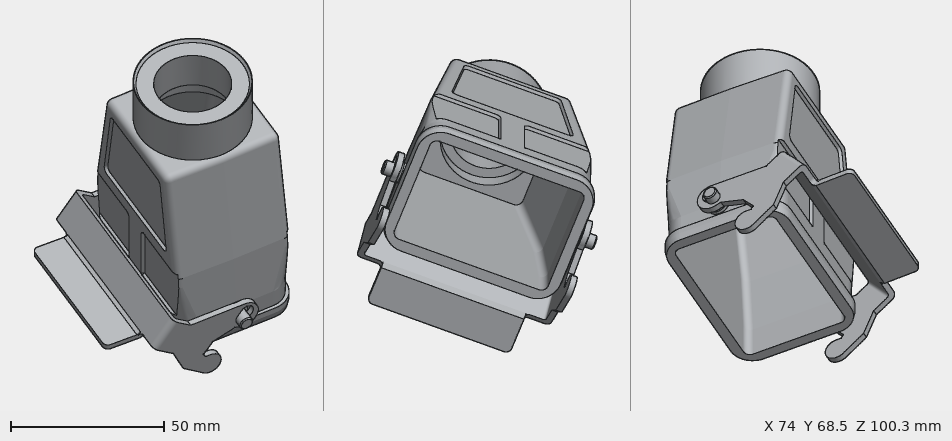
import cadquery as cq
import math


HOOD_HALF_Y = 21.4
SIDE_RIDGE = 0.4
HOOD_TOP_Z = 73.8
BASE_HALF_X = 29.9
BASE_TOP_Z = 11.4
BASE_CORNER = 7.6
BEND_HALF_X = 28.2
BEND_Z = 32.4
TOP_HALF_X = 21.1
EDGE_RADIUS = 2.4
CORNER_BLEND_Z = 28.4
HOOD_WALL = 3.0
ROOF = 5.0

FLANGE_BAND = 2.4
FLANGE_HALF_X = 30.9
FLANGE_HALF_Y = 22.5
FLANGE_CORNER = 8.5
FLANGE_DRAFT_INSET = 0.5

RECESS_DEPTH = 1.1
RECESS_DRAFT = 22.0
RECESS_CORNER = 1.5
LABEL_TOP_Z = 68.7
LABEL_BOTTOM_Z = 39.8
LABEL_TOP_HALF_X = 16.5
LABEL_BOTTOM_HALF_X = 21.0
RIB_HALF_X = 4.5
SIDE_RECESS_TOP_Z = 34.1
SIDE_RECESS_BOTTOM_Z = 14.2

NECK_DIA = 39.0
NECK_RIM_DIA = 38.6
NECK_TOP_Z = 90.5
INSERT_DIA = 37.0
INSERT_BORE = 25.5
INSERT_LENGTH = 13.9
RIM_DEPTH = 1.0
ENTRY_DIA = 32.0
INSERT_TOP_Z = NECK_TOP_Z - RIM_DEPTH
INSERT_BOTTOM_Z = INSERT_TOP_Z - INSERT_LENGTH

STUD_Z = 9.8
STUD_DIA = 4.8
STUD_CHAMFER = 0.4
STUD_END_X = 37.0
BOSS_DIA = 7.0
BOSS_CONE_LENGTH = 0.8

LEVER_HALF_X = 33.9
SHEET = 2.1
LEVER_INNER_X = LEVER_HALF_X - SHEET
BEND_INNER_RADIUS = 1.0
BEND_OUTER_RADIUS = 2.1
SLOT_DY = 1.7
SLOT_DZ = 2.2
EYE_RADIUS = 5.1
BAR_TOP = (-25.6, 21.0)
BAR_LENGTH = 12.0
BAR_SLOPE = 52.5
ARM_DEPTH = 9.3
HEEL = (-21.9, -3.1)
HOOK_CENTRE = (-11.9, -5.7)
HOOK_RADIUS = 4.1
THROAT = [(-13.6, HOOK_CENTRE[1] + HOOK_RADIUS), (-14.4, -0.3), (-10.8, 4.2), (-2.7, 6.7)]
EYE_END_ANGLE = -116.0

TAB_HALF_X = 25.0
TAB_END_Y = -46.0
TAB_UPPER_ROOT = (-34.3, 10.8)
TAB_LOWER_ROOT = (-32.9, 8.8)
TAB_RISE = 0.4
TAB_CORNER = 2.0
TAB_FLARE = 1.4

BIG = 100.3


def outline_corners(half_x, half_y, ridge):
    """Corners of a rectangle, with a ridge point in the middle of each short side if it has a ridge."""
    side_x = half_x - ridge
    front = [(-side_x, -half_y), (side_x, -half_y)]
    back = [(side_x, half_y), (-side_x, half_y)]
    if ridge:
        return [*front, (half_x, 0), *back, (-half_x, 0)]
    return front + back


def section(half_x, half_y, corner, z, ridge=0.0):
    """Rounded rectangle at height z; with a ridge, its short sides come to a point at their middle."""
    corners = outline_corners(half_x, half_y, ridge)
    outline = cq.Sketch().polygon(corners + corners[:1]).vertices(">Y or <Y").fillet(corner)
    return outline.moved(cq.Location(cq.Vector(0, 0, z)))


def ruled(lower, upper, ridge=0.0):
    """Solid with straight walls between two rounded outlines."""
    sections = (section(*lower, ridge), section(*upper, ridge))
    return cq.Workplane("XY").placeSketch(*sections).loft(ruled=True)


def both_sides(shape, plane):
    """The shape together with its mirror image."""
    return shape.union(shape.mirror(plane))


def hood_upper():
    """Tapered upper part; its upright edges and top rim are rounded together."""
    foot = [(x, y, BEND_Z) for x, y in outline_corners(BEND_HALF_X, HOOD_HALF_Y, SIDE_RIDGE)]
    top = [(x, y, HOOD_TOP_Z) for x, y in outline_corners(TOP_HALF_X, HOOD_HALF_Y, SIDE_RIDGE)]
    outlines = [foot, top]
    for i in range(len(foot)):
        outlines.append([foot[i - 1], foot[i], top[i], top[i - 1]])
    faces = [cq.Face.makeFromWires(cq.Wire.makePolygon(points, close=True))
             for points in ([cq.Vector(*point) for point in outline] for outline in outlines)]
    block = cq.Workplane(cq.Solid.makeSolid(cq.Shell.makeShell(faces)))
    upright = block.faces(">Y or <Y").edges("not #Z").vals()
    rim = block.faces(">Z").edges().vals()
    return block.newObject(upright + rim).fillet(EDGE_RADIUS)


def hood_shell():
    blend_share = (CORNER_BLEND_Z - BASE_TOP_Z) / (BEND_Z - BASE_TOP_Z)
    blend_half_x = BASE_HALF_X + (BEND_HALF_X - BASE_HALF_X) * blend_share
    base_foot = (BASE_HALF_X, HOOD_HALF_Y, BASE_CORNER, 0)
    base_top = (BASE_HALF_X, HOOD_HALF_Y, BASE_CORNER, BASE_TOP_Z)
    blend = (blend_half_x, HOOD_HALF_Y, EDGE_RADIUS, CORNER_BLEND_Z)
    bend = (BEND_HALF_X, HOOD_HALF_Y, EDGE_RADIUS, BEND_Z)
    shell = ruled(base_foot, base_top, SIDE_RIDGE)
    shell = shell.union(ruled(base_top, blend, SIDE_RIDGE))
    shell = shell.union(ruled(blend, bend, SIDE_RIDGE))
    return shell.union(hood_upper())


def flange():
    foot = (FLANGE_HALF_X - FLANGE_DRAFT_INSET, FLANGE_HALF_Y - FLANGE_DRAFT_INSET,
            FLANGE_CORNER - FLANGE_DRAFT_INSET, 0)
    middle = (FLANGE_HALF_X, FLANGE_HALF_Y, FLANGE_CORNER, FLANGE_BAND)
    top = (FLANGE_HALF_X, FLANGE_HALF_Y, FLANGE_CORNER, 2 * FLANGE_BAND)
    return ruled(foot, middle).union(ruled(middle, top))


def hood_cavity():
    half_y = HOOD_HALF_Y - HOOD_WALL
    roof_z = HOOD_TOP_Z - ROOF
    foot = (BASE_HALF_X - HOOD_WALL, half_y, EDGE_RADIUS, 0)
    base_top = (BASE_HALF_X - HOOD_WALL, half_y, EDGE_RADIUS, BASE_TOP_Z)
    bend = (BEND_HALF_X - HOOD_WALL, half_y, EDGE_RADIUS, BEND_Z)
    roof = (TOP_HALF_X - HOOD_WALL, half_y, EDGE_RADIUS, roof_z)
    return ruled(foot, base_top).union(ruled(base_top, bend)).union(ruled(bend, roof))


def recess_floor():
    """Plane of the recess floors on the -Y face, normal pointing outwards."""
    return cq.Workplane("XZ", origin=(0, RECESS_DEPTH - HOOD_HALF_Y, 0))


def label_recess():
    corners = [(-LABEL_BOTTOM_HALF_X, LABEL_BOTTOM_Z), (LABEL_BOTTOM_HALF_X, LABEL_BOTTOM_Z),
               (LABEL_TOP_HALF_X, LABEL_TOP_Z), (-LABEL_TOP_HALF_X, LABEL_TOP_Z)]
    outline = cq.Sketch().polygon(corners + corners[:1]).vertices().fillet(RECESS_CORNER)
    return recess_floor().placeSketch(outline).extrude(RECESS_DEPTH, taper=-RECESS_DRAFT)


def side_recess():
    width = FLANGE_HALF_X - RIB_HALF_X
    height = SIDE_RECESS_TOP_Z - SIDE_RECESS_BOTTOM_Z
    centre = (RIB_HALF_X + width / 2, SIDE_RECESS_BOTTOM_Z + height / 2)
    outline = cq.Sketch().rect(width, height).vertices("<X and >Y").fillet(RECESS_CORNER)
    outline = outline.moved(cq.Location(cq.Vector(*centre, 0)))
    return recess_floor().placeSketch(outline).extrude(RECESS_DEPTH, taper=-RECESS_DRAFT)


def pivot_stud():
    """Stud on the +X side, with its conical boss against the lever."""
    boss_radius = BOSS_DIA / 2
    radius = STUD_DIA / 2
    profile = [(BEND_HALF_X, 0), (BEND_HALF_X, boss_radius), (LEVER_INNER_X - BOSS_CONE_LENGTH, boss_radius),
               (LEVER_INNER_X, radius), (STUD_END_X - STUD_CHAMFER, radius),
               (STUD_END_X, radius - STUD_CHAMFER), (STUD_END_X, 0)]
    stud = cq.Workplane("XY").polyline(profile).close().revolve(360, (0, 0, 0), (1, 0, 0))
    return stud.translate((0, 0, STUD_Z))


def cylinder(diameter, bottom_z, top_z):
    return cq.Workplane("XY", origin=(0, 0, bottom_z)).circle(diameter / 2).extrude(top_z - bottom_z)


def neck_opening():
    """Lead-in cone, seat of the insert and passage into the cavity."""
    cone = (cq.Workplane("XY", origin=(0, 0, INSERT_TOP_Z)).circle(INSERT_DIA / 2)
            .workplane(offset=RIM_DEPTH).circle(NECK_RIM_DIA / 2).loft())
    seat = cylinder(INSERT_DIA, INSERT_BOTTOM_Z, INSERT_TOP_Z)
    passage = cylinder(ENTRY_DIA, HOOD_TOP_Z - ROOF, INSERT_BOTTOM_Z)
    return passage.union(seat).union(cone)


def make_hood():
    neck = cylinder(NECK_DIA, HOOD_TOP_Z - EDGE_RADIUS, NECK_TOP_Z)
    recesses = label_recess().union(both_sides(side_recess(), "YZ"))
    body = hood_shell().cut(both_sides(recesses, "XZ"))
    body = body.union(flange()).union(neck).union(both_sides(pivot_stud(), "YZ"))
    return body.cut(hood_cavity()).cut(neck_opening())


def make_insert():
    return cylinder(INSERT_DIA, INSERT_BOTTOM_Z, INSERT_TOP_Z).cut(
        cylinder(INSERT_BORE, INSERT_BOTTOM_Z, INSERT_TOP_Z))


def on_circle(centre, radius, degrees):
    angle = math.radians(degrees)
    return (centre[0] + radius * math.cos(angle), centre[1] + radius * math.sin(angle))


def inboard(point, distance):
    """Move a (y, z) point square to the cross bar, towards the hood."""
    return on_circle(point, distance, BAR_SLOPE - 90)


BAR_BOTTOM = on_circle(BAR_TOP, BAR_LENGTH, 180 + BAR_SLOPE)


def lever_blank():
    """Side outline of the lever, extruded over its full width."""
    eye = (SLOT_DY / 2, STUD_Z + SLOT_DZ / 2)
    arm_top_z = eye[1] + EYE_RADIUS
    shoulder = inboard(BAR_TOP, (BAR_TOP[1] - arm_top_z) / math.cos(math.radians(BAR_SLOPE)))
    to_hook = math.atan2(HOOK_CENTRE[1] - HEEL[1], HOOK_CENTRE[0] - HEEL[0])
    span = math.dist(HEEL, HOOK_CENTRE)
    tangent = math.degrees(to_hook + math.pi + math.acos(HOOK_RADIUS / span))
    outline = (cq.Workplane("YZ", origin=(-LEVER_HALF_X, 0, 0))
               .moveTo(eye[0], arm_top_z)
               .lineTo(*shoulder)
               .lineTo(*BAR_TOP)
               .lineTo(*BAR_BOTTOM)
               .lineTo(*inboard(BAR_BOTTOM, ARM_DEPTH))
               .lineTo(*HEEL)
               .lineTo(*on_circle(HOOK_CENTRE, HOOK_RADIUS, tangent))
               .threePointArc(on_circle(HOOK_CENTRE, HOOK_RADIUS, 0),
                              on_circle(HOOK_CENTRE, HOOK_RADIUS, 90)))
    for point in THROAT:
        outline = outline.lineTo(*point)
    outline = (outline.lineTo(*on_circle(eye, EYE_RADIUS, EYE_END_ANGLE))
               .threePointArc(on_circle(eye, EYE_RADIUS, 0), (eye[0], arm_top_z)).close())
    return outline.extrude(2 * LEVER_HALF_X)


def bar_box(half_x, face_distance, corner):
    """Long box behind the cross bar, square to it, with rounded corners on the bar side."""
    start = inboard(BAR_TOP, face_distance)
    box = cq.Workplane("XY").box(2 * half_x, BIG, BIG, centered=(True, False, True))
    box = box.faces("<Y").edges("|Z").fillet(corner)
    box = box.rotate((0, 0, 0), (1, 0, 0), BAR_SLOPE - 90)
    return box.translate((0, *start))


def pivot_slot():
    length = math.hypot(SLOT_DY, SLOT_DZ)
    angle = math.degrees(math.atan2(SLOT_DZ, SLOT_DY))
    return (cq.Workplane("YZ", origin=(-LEVER_HALF_X, SLOT_DY / 2, STUD_Z + SLOT_DZ / 2))
            .slot2D(length + STUD_DIA, STUD_DIA, angle).extrude(2 * LEVER_HALF_X))


def tab_flare():
    """Concave gusset, in the plane of the cross bar, where the +X edge of the tab leaves the bar."""
    bar_plane = cq.Plane(origin=(TAB_HALF_X, *BAR_BOTTOM), xDir=(1, 0, 0), normal=(0, *inboard((0, 0), 1)))
    arc_middle = TAB_FLARE * (1 - math.sqrt(0.5))
    return (cq.Workplane(bar_plane)
            .lineTo(TAB_FLARE, 0)
            .threePointArc((arc_middle, arc_middle), (0, TAB_FLARE))
            .close().extrude(SHEET))


def lever_tab():
    """Finger tab bent outwards from the lower edge of the cross bar."""
    side = [BAR_BOTTOM, TAB_UPPER_ROOT, (TAB_END_Y, TAB_UPPER_ROOT[1] + TAB_RISE),
            (TAB_END_Y, TAB_LOWER_ROOT[1] + TAB_RISE), TAB_LOWER_ROOT, inboard(BAR_BOTTOM, SHEET)]
    tab = cq.Workplane("YZ", origin=(-TAB_HALF_X, 0, 0)).polyline(side).close().extrude(2 * TAB_HALF_X)
    tab = tab.faces("<Y").edges("|Z").fillet(TAB_CORNER)
    return tab.union(both_sides(tab_flare(), "YZ"))


def make_lever():
    outside = bar_box(LEVER_HALF_X, 0, BEND_OUTER_RADIUS)
    inside = bar_box(LEVER_INNER_X, SHEET, BEND_INNER_RADIUS)
    yoke = lever_blank().intersect(outside).cut(inside).cut(pivot_slot())
    return yoke.union(lever_tab())


hood = make_hood()
insert = make_insert()
lever = make_lever()

result = cq.Compound.makeCompound([hood.val(), insert.val(), lever.val()])